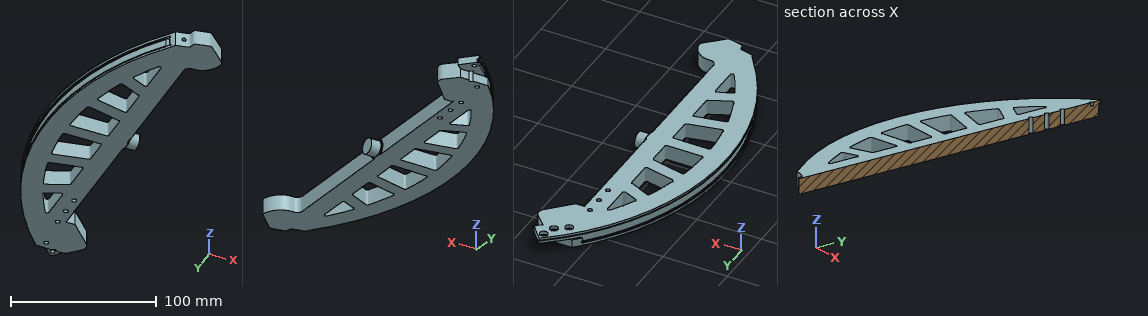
import cadquery as cq
import math

thickness = 12.0
half_thickness = thickness / 2

rim_radius = 181.5
window_radius = 166.2
spine_inner_x = 44.9
spine_outer_x = 60.3
spoke_width = 10.0
spoke_pitch = 12.0
windows_per_side = 3
window_corner_radius = 1.4

tip_y = 143.2
tip_notch_outer = (80.0, 132.0)
tip_notch_inner = (75.0, 127.8)
head_corner = (87.3, 115.7)
head_base_x = 67.0
head_base_y = 95.0
head_corner_radius = 5.5
tip_underside_z = 0.5

foot_center = (65.5, -113.8)
foot_radius = 15.5
foot_blend_radius = 4.0
foot_arc_middle_angle = 45.0
foot_arc_end_angle = 3.0
foot_heel = (65.7, -127.3)
foot_corner_radius = 3.2
foot_step_outer = (53.8, -124.9)
foot_step_inner = (52.7, -120.0)
foot_step_radius = 2.5
rim_foot = (42.7, -117.8)
rim_arc_end_y = -114.0

groove_mouth_width = 7.5
groove_mouth_depth = 0.5
groove_floor_width = 6.2
groove_floor_depth = 1.4
groove_lower_end_y = 122.5
anchor_pocket_y = -110.5
anchor_pocket_depth = 3.2

screw_spots = [(69.7, 137.0), (66.5, 128.0), (57.8, 122.2)]
screw_diameter = 3.2
screw_head_diameter = 6.0
screw_head_depth = 2.7
pin_x = 54.9
pin_middle_y = 84.0
pin_pitch = 13.2
pin_diameter = 3.2
end_hole_x = 48.6
end_hole_diameter = 2.7
end_hole_depth = 8.0

stem_length = 8.5
stem_diameter = 12.0
collar_length = 0.8
collar_diameter = 14.0


def rim_x(y):
    """X of the rim arc at a given Y."""
    return rim_radius - math.sqrt(rim_radius**2 - y**2)


def foot_point(angle):
    """Point on the rounded top of the foot."""
    a = math.radians(angle)
    return foot_center[0] + foot_radius * math.cos(a), foot_center[1] + foot_radius * math.sin(a)


def fillet_corner(body, point, radius):
    """Round the upright edge nearest to a point."""
    return body.edges("|Z").edges(cq.NearestToPointSelector((*point, 0))).fillet(radius)


def make_plate():
    foot_start_angle = math.degrees(math.acos((spine_outer_x - foot_center[0]) / foot_radius))
    foot_start = foot_point(foot_start_angle)
    plate = (
        cq.Workplane("XY", origin=(0, 0, -half_thickness))
        .moveTo(rim_x(tip_y), tip_y)
        .lineTo(*tip_notch_outer)
        .lineTo(*tip_notch_inner)
        .lineTo(*head_corner)
        .lineTo(head_base_x, head_base_y)
        .lineTo(spine_outer_x, head_base_y)
        .lineTo(*foot_start)
        .threePointArc(foot_point(foot_arc_middle_angle), foot_point(foot_arc_end_angle))
        .lineTo(*foot_heel)
        .lineTo(*foot_step_outer)
        .lineTo(*foot_step_inner)
        .lineTo(*rim_foot)
        .lineTo(rim_x(rim_arc_end_y), rim_arc_end_y)
        .threePointArc((0, 0), (rim_x(tip_y), tip_y))
        .close()
        .extrude(thickness)
    )
    plate = fillet_corner(plate, head_corner, head_corner_radius)
    plate = fillet_corner(plate, foot_start, foot_blend_radius)
    plate = fillet_corner(plate, foot_point(foot_arc_end_angle), foot_corner_radius)
    plate = fillet_corner(plate, foot_heel, foot_corner_radius)
    plate = fillet_corner(plate, foot_step_outer, foot_step_radius)
    return fillet_corner(plate, foot_step_inner, foot_step_radius)


def make_windows():
    """Openings between the spine and the rim, split by radial spokes."""
    rim_side = (
        cq.Workplane("XY")
        .box(spine_inner_x, 2 * rim_radius, thickness, centered=(False, True, True))
    )
    windows = (
        cq.Workplane("XY", origin=(rim_radius, 0, -half_thickness))
        .circle(window_radius)
        .extrude(thickness)
        .intersect(rim_side)
    )
    for index in range(1 - windows_per_side, windows_per_side):
        spoke = (
            cq.Workplane("XY")
            .box(rim_radius, spoke_width, thickness)
            .translate((-rim_radius / 2, 0, 0))
            .rotate((0, 0, 0), (0, 0, 1), index * spoke_pitch)
            .translate((rim_radius, 0, 0))
        )
        windows = windows.cut(spoke)
    return windows.edges("|Z").fillet(window_corner_radius)


def rim_band(depth, y_low, y_high, z_low, z_high):
    """Outer skin of the rim, of the given depth, between two Y and two Z levels."""
    ring = (
        cq.Workplane("XY", origin=(rim_radius, 0, z_low))
        .circle(rim_radius + thickness)
        .circle(rim_radius - depth)
        .extrude(z_high - z_low)
    )
    slab = (
        cq.Workplane("XY", origin=(0, (y_low + y_high) / 2, 0))
        .box(2 * rim_radius, y_high - y_low, thickness)
    )
    return ring.intersect(slab)


def cut_groove(body):
    """Stepped groove along the rim; above the tip's underside it runs out through the tip."""
    levels = (
        (groove_mouth_width / 2, groove_mouth_depth),
        (groove_floor_width / 2, groove_floor_depth),
    )
    for half_width, depth in levels:
        body = body.cut(rim_band(depth, rim_arc_end_y, groove_lower_end_y, -half_width, tip_underside_z))
        body = body.cut(rim_band(depth, rim_arc_end_y, tip_y, tip_underside_z, half_width))
    return body


def cut_anchor_pocket(body):
    """Deeper pocket at the foot end of the groove, with a radial end wall."""
    lip = (rim_x(rim_arc_end_y), rim_arc_end_y)
    end_wall_bottom = (
        lip[0] + anchor_pocket_depth * (rim_radius - lip[0]) / rim_radius,
        lip[1] - anchor_pocket_depth * lip[1] / rim_radius,
    )
    near_wall_x = rim_x(anchor_pocket_y)
    pocket = (
        cq.Workplane("XY")
        .polyline([
            lip,
            end_wall_bottom,
            (near_wall_x + groove_floor_depth + anchor_pocket_depth, anchor_pocket_y),
            (near_wall_x, anchor_pocket_y),
        ])
        .close()
        .extrude(groove_mouth_width / 2, both=True)
    )
    return body.cut(pocket)


def cut_tip_relief(body):
    """Remove the lower part of the tip, beyond the inner corner of its notch."""
    notch_y = tip_notch_inner[1]
    relief = (
        cq.Workplane("XY", origin=(0, notch_y, -half_thickness))
        .box(rim_radius, tip_y - notch_y, half_thickness + tip_underside_z, centered=False)
    )
    return body.cut(relief)


def drill_screw_holes(body):
    top = cq.Workplane("XY", origin=(0, 0, half_thickness))
    for diameter, depth in ((screw_diameter, thickness), (screw_head_diameter, screw_head_depth)):
        body = body.cut(top.pushPoints(screw_spots).circle(diameter / 2).extrude(-depth))
    return body


def drill_pin_holes(body):
    spots = [(pin_x, pin_middle_y + step * pin_pitch) for step in (-1, 0, 1)]
    pins = cq.Workplane("XY").pushPoints(spots).circle(pin_diameter / 2).extrude(half_thickness, both=True)
    return body.cut(pins)


def drill_end_hole(body):
    """Blind hole square to the sloping face at the foot end of the rim."""
    run = foot_step_inner[0] - rim_foot[0]
    rise = foot_step_inner[1] - rim_foot[1]
    hole_y = rim_foot[1] + (end_hole_x - rim_foot[0]) * rise / run
    inward = cq.Vector(-rise, run, 0)
    drill = cq.Solid.makeCylinder(
        end_hole_diameter / 2, end_hole_depth, cq.Vector(end_hole_x, hole_y, 0), inward
    )
    return body.cut(cq.Workplane(drill))


def add_stem(body):
    """Round stem on a thin collar whose top and bottom are trimmed flush with the plate."""
    base = cq.Workplane("YZ", origin=(spine_outer_x, 0, 0))
    trim = cq.Workplane("XY").box(2 * rim_radius, collar_diameter, thickness)
    collar = base.circle(collar_diameter / 2).extrude(collar_length).intersect(trim)
    stem = base.circle(stem_diameter / 2).extrude(stem_length)
    return body.union(collar).union(stem)


result = make_plate().cut(make_windows())
result = cut_groove(result)
result = cut_anchor_pocket(result)
result = cut_tip_relief(result)
result = drill_screw_holes(result)
result = drill_pin_holes(result)
result = drill_end_hole(result)
result = add_stem(result)